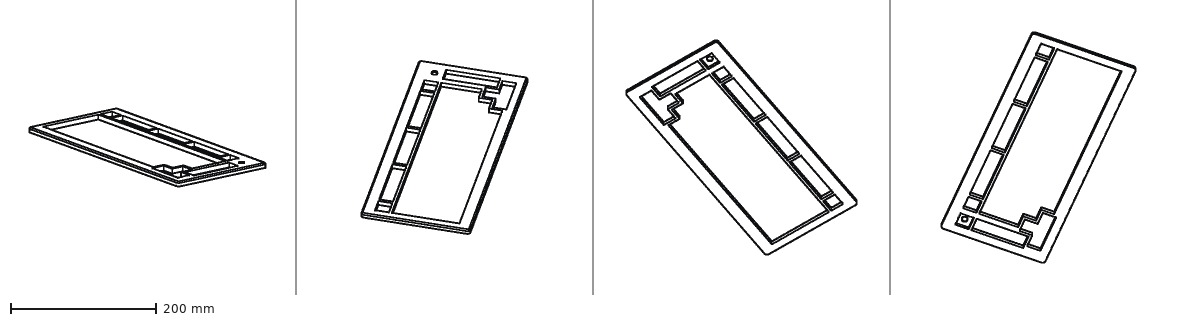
import cadquery as cq

LENGTH = 338.8
WIDTH = 154.5
THICKNESS = 7.0
CORNER_RADIUS = 4.5
EDGE_CHAMFER = 2.0

PITCH = 19.05
CLEARANCE = 0.7
GAP = PITCH / 4
GRID_LEFT = -157.5
GRID_TOP = 59.5
MAIN_COLUMNS = 15
MAIN_ROWS = 5
FUNCTION_GROUPS = (1, 4, 4, 4, 1)

MAIN_TOP = GRID_TOP - PITCH - GAP
MAIN_BOTTOM = MAIN_TOP - MAIN_ROWS * PITCH
SIDE_LEFT = GRID_LEFT + MAIN_COLUMNS * PITCH + 2 * GAP
SIDE_ROWS = 4
ARROW_LEFT = GRID_LEFT + (MAIN_COLUMNS - 2) * PITCH + GAP
ARROW_BOTTOM = MAIN_BOTTOM - GAP

KNOB_DIAMETER = 8.0
KNOB_WEB = 2.0
KNOB_X = SIDE_LEFT + PITCH / 2
KNOB_Y = GRID_TOP - PITCH / 2


def key_block(left, bottom, columns, rows, height=THICKNESS):
    """Cutter for a block of key cells, enlarged by the clearance."""
    size_x = columns * PITCH + CLEARANCE
    size_y = rows * PITCH + CLEARANCE
    corner = (left - CLEARANCE / 2, bottom - CLEARANCE / 2, 0)
    return cq.Workplane("XY").box(size_x, size_y, height, centered=False).translate(corner)


def plate():
    body = cq.Workplane("XY").box(LENGTH, WIDTH, THICKNESS, centered=(True, True, False))
    body = body.edges("|Z").fillet(CORNER_RADIUS)
    return body.faces(">Z").chamfer(EDGE_CHAMFER)


def cut_function_row(body):
    left = GRID_LEFT
    for keys in FUNCTION_GROUPS:
        body = body.cut(key_block(left, GRID_TOP - PITCH, keys, 1))
        left += keys * PITCH + GAP
    return body


def cut_main_field(body):
    """Main opening, with its lower right corner stepped around the arrow keys."""
    for columns, skipped in ((MAIN_COLUMNS - 2, 0), (MAIN_COLUMNS - 1, 1), (MAIN_COLUMNS, 2)):
        bottom = MAIN_BOTTOM + skipped * PITCH
        body = body.cut(key_block(GRID_LEFT, bottom, columns, MAIN_ROWS - skipped))
    return body


def cut_side_column(body):
    return body.cut(key_block(SIDE_LEFT, MAIN_TOP - SIDE_ROWS * PITCH, 1, SIDE_ROWS))


def cut_arrow_keys(body):
    """Inverted T: three keys below, one above the middle key."""
    body = body.cut(key_block(ARROW_LEFT, ARROW_BOTTOM, 3, 1))
    return body.cut(key_block(ARROW_LEFT + PITCH, ARROW_BOTTOM, 1, 2))


def cut_knob(body):
    hole = cq.Workplane("XY").center(KNOB_X, KNOB_Y).circle(KNOB_DIAMETER / 2).extrude(THICKNESS)
    pocket = key_block(SIDE_LEFT, GRID_TOP - PITCH, 1, 1, THICKNESS - KNOB_WEB)
    return body.cut(hole).cut(pocket)


result = plate()
result = cut_function_row(result)
result = cut_main_field(result)
result = cut_side_column(result)
result = cut_arrow_keys(result)
result = cut_knob(result)